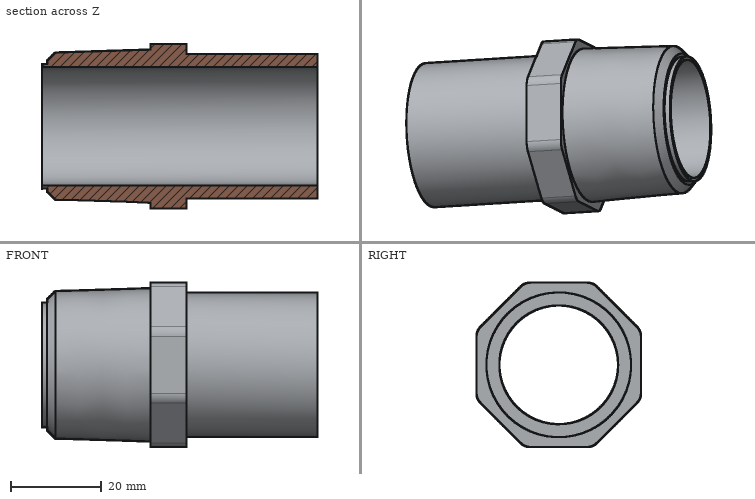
import cadquery as cq
import math

overall_length = 61.0
lip_length = 1.2
taper_start = 3.0
nut_start = 24.0
nut_width = 8.0

bore_diameter = 26.2
lip_diameter = 27.65
spigot_diameter = 32.0
taper_large_diameter = 34.0
taper_rate = 1 / 16
taper_small_diameter = taper_large_diameter - taper_rate * (nut_start - taper_start)

chamfer_length = taper_start - lip_length
chamfer_small_diameter = taper_small_diameter - 2 * chamfer_length

nut_sides = 8
nut_across_flats = 36.4
nut_corner_radius = 3.0


def make_turned_body():
    """Lip, chamfer, tapered end and plain spigot revolved about X."""
    half_profile = [
        (0, 0),
        (0, lip_diameter / 2),
        (lip_length, lip_diameter / 2),
        (lip_length, chamfer_small_diameter / 2),
        (taper_start, taper_small_diameter / 2),
        (nut_start, taper_large_diameter / 2),
        (nut_start, spigot_diameter / 2),
        (overall_length, spigot_diameter / 2),
        (overall_length, 0),
    ]
    return cq.Workplane("XY").polyline(half_profile).close().revolve(360, (0, 0, 0), (1, 0, 0))


def make_nut():
    """Octagon with rounded corners and flats facing Y and Z."""
    half_sector = 180 / nut_sides
    across_corners = nut_across_flats / math.cos(math.radians(half_sector))
    return (
        cq.Workplane("YZ")
        .workplane(offset=nut_start)
        .transformed(rotate=(0, 0, half_sector))
        .polygon(nut_sides, across_corners)
        .extrude(nut_width)
        .edges("|X")
        .fillet(nut_corner_radius)
    )


def make_bore():
    """Straight bore through the full length."""
    return cq.Workplane("YZ").circle(bore_diameter / 2).extrude(overall_length)


result = make_turned_body().union(make_nut()).cut(make_bore())